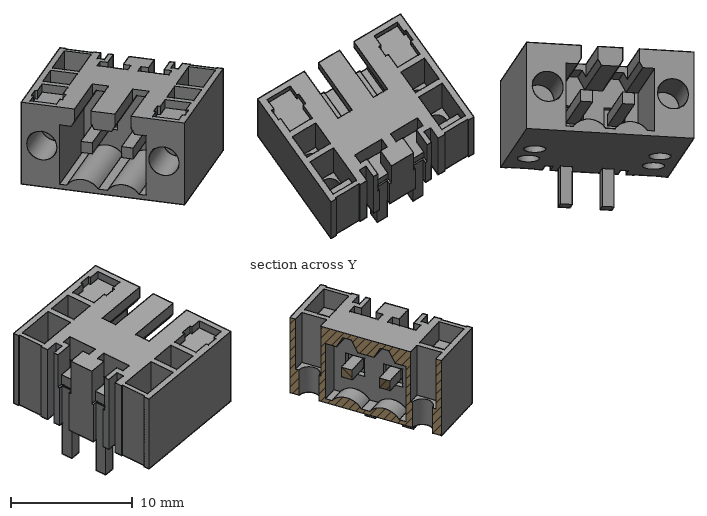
import cadquery as cq


WIDTH = 14
DEPTH = 11.05
REAR_WALL_Y = 10.55
HEIGHT = 7.42

PIN_PITCH = 3.5
PIN_SIZE = 1.0
PIN_MID_Z = 3.49
PIN_TIP_Y = 1.18
PIN_REAR_Y = 10.7
PIN_TAIL = 3.23
PIN_TOP_Z = PIN_MID_Z + PIN_SIZE / 2
PIN_XS = (-PIN_PITCH / 2, PIN_PITCH / 2)

CAVITY_WIDTH = 7.4
CAVITY_DEPTH = 7
CAVITY_FLOOR_Z = 0.43
CAVITY_ROOF_Z = 5.81
KEY_PITCH = 3.46
KEY_BASE_WIDTH = 1.96
KEY_TOP_WIDTH = 0.77
KEY_TOP_Z = 6.87
KEY_SLOT_WIDTH = 1.39
KEY_SLOT_LENGTH = 5.07
KEY_XS = (-KEY_PITCH / 2, KEY_PITCH / 2)
RIB_WIDTH = 2.72
RIB_HEIGHT = 0.69
PIN_RECESS_SIZE = 1.76
PIN_RECESS_DEPTH = 0.5

T_STEM_WIDTH = 1.33
T_BAR_WIDTH = 2.63
T_BAR_FRONT_Y = 8.58
T_BAR_REAR_Y = 9.42
T_FLOOR_Z = 5.0

WELL_INNER_X = 4.17
WELL_OUTER_X = 6.47
WELL_WIDTH = WELL_OUTER_X - WELL_INNER_X
WELL_MID_X = (WELL_INNER_X + WELL_OUTER_X) / 2
WELL_FLOOR_Z = 2.52
FRONT_WELL_Y = (4.41, 6.61)
REAR_WELL_Y = (7.08, REAR_WALL_Y)
LEDGE_FRONT_Y = 9.42
LEDGE_Z = 5.63
FIXING_X = 5.24
FIXING_DIAMETER = 1.82
FIXING_YS = (5.49, 8.18)
REAR_RELIEF = 0.11

NUT_FRONT_Y = 0.49
NUT_REAR_Y = 3.89
NUT_OUTER_X = 6.37
NUT_FRONT_INNER_X = 4.12
NUT_EAR_INNER_X = 3.92
NUT_EAR_OUTER_X = 6.58
NUT_EAR_FRONT_Y = 1.48
NUT_EAR_REAR_Y = 2.5
NUT_DEPTH = 0.74
SCREW_DIAMETER = 2.58
SCREW_Z = 3.72

NOTCH_INNER_X = 2.84
NOTCH_OUTER_X = 3.49
NOTCH_DEPTH = 1.12


def block(x0, x1, y0, y1, z0, z1):
    """Box between two opposite corners."""
    return cq.Workplane("XY").box(x1 - x0, y1 - y0, z1 - z0, centered=False).translate((x0, y0, z0))


def centred_block(x_mid, width, y0, y1, z0, z1):
    """Box of the given width, centred on x_mid."""
    return block(x_mid - width / 2, x_mid + width / 2, y0, y1, z0, z1)


def pin(x):
    """L-shaped contact: a straight blade along Y and a tail down through the board."""
    blade = centred_block(x, PIN_SIZE, PIN_TIP_Y, PIN_REAR_Y, PIN_TOP_Z - PIN_SIZE, PIN_TOP_Z)
    tail = centred_block(x, PIN_SIZE, PIN_REAR_Y - PIN_SIZE, PIN_REAR_Y, -PIN_TAIL, PIN_TOP_Z)
    return blade.union(tail)


def key_groove(x):
    """Trapezoidal groove above the cavity, with the slot that opens it to the top."""
    groove = (
        cq.Workplane("XZ")
        .moveTo(x - KEY_BASE_WIDTH / 2, CAVITY_ROOF_Z)
        .lineTo(x - KEY_TOP_WIDTH / 2, KEY_TOP_Z)
        .lineTo(x + KEY_TOP_WIDTH / 2, KEY_TOP_Z)
        .lineTo(x + KEY_BASE_WIDTH / 2, CAVITY_ROOF_Z)
        .close()
        .extrude(-CAVITY_DEPTH)
    )
    slot = centred_block(x, KEY_SLOT_WIDTH, 0, KEY_SLOT_LENGTH, CAVITY_ROOF_Z, HEIGHT)
    return groove.union(slot)


def floor_rib(x):
    """Rib with a circular-arc top along the cavity floor."""
    return (
        cq.Workplane("XZ")
        .moveTo(x - RIB_WIDTH / 2, CAVITY_FLOOR_Z)
        .threePointArc((x, CAVITY_FLOOR_Z + RIB_HEIGHT), (x + RIB_WIDTH / 2, CAVITY_FLOOR_Z))
        .close()
        .extrude(-CAVITY_DEPTH)
    )


def plug_cavity():
    """Space for the mating plug, with its grooves, less the floor ribs."""
    cavity = centred_block(0, CAVITY_WIDTH, 0, CAVITY_DEPTH, CAVITY_FLOOR_Z, CAVITY_ROOF_Z)
    for x in KEY_XS:
        cavity = cavity.union(key_groove(x))
    for x in PIN_XS:
        cavity = cavity.cut(floor_rib(x))
    return cavity


def pin_recess(x):
    """Square recess round a contact in the back wall of the cavity."""
    return centred_block(
        x, PIN_RECESS_SIZE, CAVITY_DEPTH, CAVITY_DEPTH + PIN_RECESS_DEPTH,
        PIN_MID_Z - PIN_RECESS_SIZE / 2, PIN_MID_Z + PIN_RECESS_SIZE / 2,
    )


def pin_channel(x):
    """Passage for a contact, open to the rear so that the contact slides in."""
    blade_hole = centred_block(x, PIN_SIZE, CAVITY_DEPTH, DEPTH, PIN_TOP_Z - PIN_SIZE, PIN_TOP_Z)
    tail_slot = centred_block(x, PIN_SIZE, PIN_REAR_Y - PIN_SIZE, DEPTH, 0, PIN_TOP_Z)
    return blade_hole.union(tail_slot)


def t_pocket(x):
    """T-shaped pocket open to the rear, stepping down to the contact at the rear wall."""
    bar = centred_block(x, T_BAR_WIDTH, T_BAR_FRONT_Y, T_BAR_REAR_Y, T_FLOOR_Z, HEIGHT)
    stem = centred_block(x, T_STEM_WIDTH, T_BAR_REAR_Y, DEPTH, T_FLOOR_Z, HEIGHT)
    rear_step = centred_block(x, T_STEM_WIDTH, REAR_WALL_Y, DEPTH, PIN_TOP_Z, HEIGHT)
    return bar.union(stem).union(rear_step)


def flange_wells():
    """Two wells with through fixing holes, and the relief behind them (+X end)."""
    front = centred_block(WELL_MID_X, WELL_WIDTH, *FRONT_WELL_Y, WELL_FLOOR_Z, HEIGHT)
    rear = centred_block(WELL_MID_X, WELL_WIDTH, *REAR_WELL_Y, WELL_FLOOR_Z, HEIGHT)
    ledge = centred_block(WELL_MID_X, WELL_WIDTH, LEDGE_FRONT_Y, REAR_WALL_Y, WELL_FLOOR_Z, LEDGE_Z)
    relief = centred_block(WELL_MID_X, WELL_WIDTH, DEPTH - REAR_RELIEF, DEPTH, 0, HEIGHT)
    fixing_holes = (
        cq.Workplane("XY")
        .pushPoints([(FIXING_X, y) for y in FIXING_YS])
        .circle(FIXING_DIAMETER / 2)
        .extrude(HEIGHT)
    )
    return front.union(rear.cut(ledge)).union(fixing_holes).union(relief)


def nut_pocket():
    """Shallow eared pocket in the top, over the screw hole (+X end)."""
    floor_z = HEIGHT - NUT_DEPTH
    front = block(NUT_FRONT_INNER_X, NUT_OUTER_X, NUT_FRONT_Y, NUT_EAR_FRONT_Y, floor_z, HEIGHT)
    ears = block(NUT_EAR_INNER_X, NUT_EAR_OUTER_X, NUT_EAR_FRONT_Y, NUT_EAR_REAR_Y, floor_z, HEIGHT)
    rear = block(WELL_INNER_X, NUT_OUTER_X, NUT_EAR_REAR_Y, NUT_REAR_Y, floor_z, HEIGHT)
    return front.union(ears).union(rear)


def screw_hole():
    """Blind round hole in the mating face, as deep as the nut pocket (+X end)."""
    return cq.Workplane("XZ").center(FIXING_X, SCREW_Z).circle(SCREW_DIAMETER / 2).extrude(-NUT_REAR_Y)


def rear_notch():
    """Full-height notch in the rear edge (+X end)."""
    return block(NOTCH_INNER_X, NOTCH_OUTER_X, DEPTH - NOTCH_DEPTH, DEPTH, 0, HEIGHT)


def make_housing():
    body = centred_block(0, WIDTH, 0, DEPTH, 0, HEIGHT).cut(plug_cavity())
    for x in PIN_XS:
        body = body.cut(t_pocket(x)).cut(pin_recess(x)).cut(pin_channel(x))
    for end_cut in (flange_wells(), nut_pocket(), screw_hole(), rear_notch()):
        body = body.cut(end_cut).cut(end_cut.mirror("YZ"))
    return body


housing = make_housing()
pins = [pin(x) for x in PIN_XS]

result = cq.Compound.makeCompound([housing.solids().val(), *[contact.solids().val() for contact in pins]])